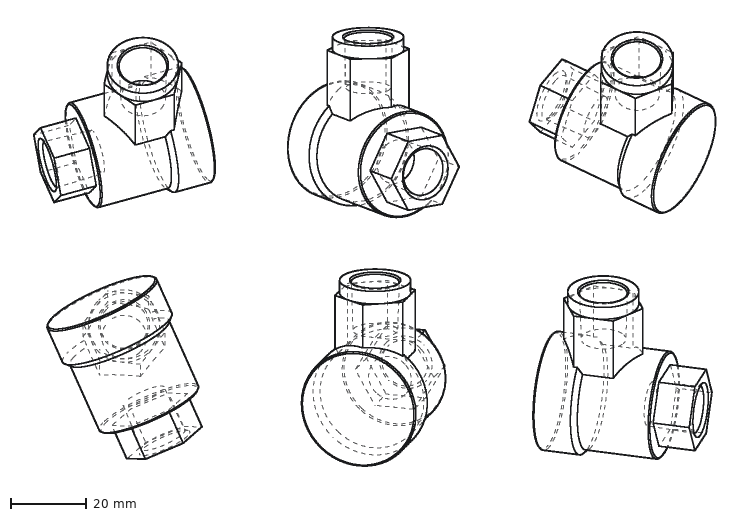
import cadquery as cq
import math


collar_diameter = 32.0
barrel_diameter = 29.0
barrel_back_y = 15.0
barrel_front_y = -17.0
collar_front_y = 4.5
barrel_edge_chamfer = 0.4

hex_across_flats = 19.0
front_port_length = 10.0
top_port_height = 31.5
top_rim_height = 3.5

bore_start_diameter = 12.75
bore_taper = 1 / 16
bore_depth = 14.0
front_mouth_chamfer = 0.98
top_mouth_chamfer = 0.45

collar_radius = collar_diameter / 2
barrel_radius = barrel_diameter / 2
shoulder_length = collar_radius - barrel_radius
hex_across_corners = hex_across_flats / math.cos(math.radians(30))
front_face_y = barrel_front_y - front_port_length
top_hex_end_z = top_port_height - top_rim_height

front_mouth = cq.Plane(origin=(0, front_face_y, 0), xDir=(1, 0, 0), normal=(0, -1, 0))
top_mouth = cq.Plane(origin=(0, 0, top_port_height), xDir=(0, 1, 0), normal=(0, 0, 1))


def make_barrel():
    """Collar, shoulder and barrel as one profile turned about the Y axis."""
    chamfer = barrel_edge_chamfer
    return (
        cq.Workplane("XY")
        .moveTo(0, barrel_back_y)
        .lineTo(collar_radius - chamfer, barrel_back_y)
        .lineTo(collar_radius, barrel_back_y - chamfer)
        .lineTo(collar_radius, collar_front_y)
        .lineTo(barrel_radius, collar_front_y - shoulder_length)
        .lineTo(barrel_radius, barrel_front_y + chamfer)
        .lineTo(barrel_radius - chamfer, barrel_front_y)
        .lineTo(0, barrel_front_y)
        .close()
        .revolve(360, (0, 0, 0), (0, 1, 0))
    )


def make_front_port():
    """Hexagon with two corners on the X axis, reaching back to the origin."""
    return cq.Workplane(front_mouth).polygon(6, hex_across_corners).extrude(front_face_y)


def make_top_port():
    """Hexagon with two corners along Y, ending in a round rim."""
    hexagon = (
        cq.Workplane(top_mouth)
        .workplane(offset=-top_rim_height)
        .polygon(6, hex_across_corners)
        .extrude(-top_hex_end_z)
    )
    rim = cq.Workplane(top_mouth).circle(hex_across_flats / 2).extrude(-top_rim_height)
    return hexagon.union(rim)


def make_bore(mouth_plane, mouth_chamfer):
    """Blind bore turned about the port axis, chamfer included."""
    tapered_length = bore_depth - mouth_chamfer
    start_radius = bore_start_diameter / 2
    end_radius = start_radius - tapered_length * bore_taper / 2
    return (
        cq.Workplane(mouth_plane)
        .transformed(rotate=(90, 0, 0))
        .moveTo(0, 0)
        .lineTo(start_radius + mouth_chamfer, 0)
        .lineTo(start_radius, -mouth_chamfer)
        .lineTo(end_radius, -bore_depth)
        .lineTo(0, -bore_depth)
        .close()
        .revolve(360, (0, 0, 0), (0, 1, 0))
    )


result = (
    make_barrel()
    .union(make_front_port())
    .union(make_top_port())
    .cut(make_bore(front_mouth, front_mouth_chamfer))
    .cut(make_bore(top_mouth, top_mouth_chamfer))
)